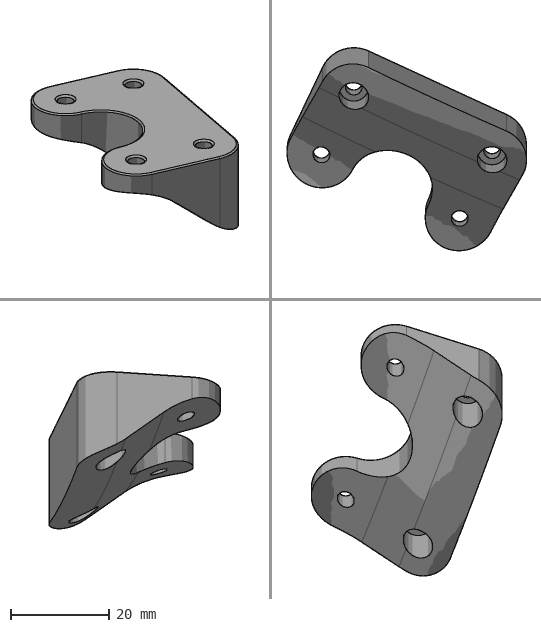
import cadquery as cq
import math

length = 45.0
width = 29.5
height = 19.75

hole_pitch_x = 31.0
corner_radius = (length - hole_pitch_x) / 2
hole_pitch_y = width - 2 * corner_radius
notch_radius = hole_pitch_x / 2 - corner_radius
edge_chamfer_width = 0.4
edge_chamfer_depth = 0.25

hole_diameter = 3.4
countersink_width = 0.4
countersink_angle = 90
counterbore_diameter = 6.0
counterbore_roof = 6.0

front_thickness = 5.9
bow_radius = 130.5
slope = math.radians(38.5)
back_arc_radius = 14.0

half_length = length / 2
back_y = width / 2
front_y = -width / 2
hole_x = hole_pitch_x / 2
rear_hole_y = hole_pitch_y / 2
front_hole_y = -hole_pitch_y / 2


def make_blank():
    """Full-height plate with rounded rear corners, two front lobes and the notch between them."""
    diagonal = corner_radius * math.sqrt(0.5)
    return (
        cq.Workplane("XY", origin=(0, 0, -height))
        .moveTo(-half_length, front_hole_y)
        .lineTo(-half_length, rear_hole_y)
        .threePointArc((-hole_x - diagonal, rear_hole_y + diagonal), (-hole_x, back_y))
        .lineTo(hole_x, back_y)
        .threePointArc((hole_x + diagonal, rear_hole_y + diagonal), (half_length, rear_hole_y))
        .lineTo(half_length, front_hole_y)
        .threePointArc((hole_x, front_y), (notch_radius, front_hole_y))
        .threePointArc((0, front_hole_y + notch_radius), (-notch_radius, front_hole_y))
        .threePointArc((-hole_x, front_y), (-half_length, front_hole_y))
        .close()
        .extrude(height)
        .faces(">Z")
        .chamfer(edge_chamfer_depth, edge_chamfer_width)
    )


def make_bowed_envelope():
    """Solid of revolution whose outer surface is the S-shaped underside."""
    axis_z = bow_radius - height

    rise = height - front_thickness
    radius_sum = (width * math.sin(slope) - rise * math.cos(slope)) / (1 - math.cos(slope))
    front_arc_radius = radius_sum - back_arc_radius

    def back_point(angle):
        return (
            back_y - back_arc_radius * math.sin(angle),
            -height + back_arc_radius * (1 - math.cos(angle)),
        )

    def front_point(angle):
        return (
            front_y + front_arc_radius * math.sin(angle),
            -front_thickness - front_arc_radius * (1 - math.cos(angle)),
        )

    return (
        cq.Workplane("YZ")
        .moveTo(back_y, axis_z)
        .lineTo(*back_point(0))
        .threePointArc(back_point(slope / 2), back_point(slope))
        .lineTo(*front_point(slope))
        .threePointArc(front_point(slope / 2), front_point(0))
        .lineTo(front_y, axis_z)
        .close()
        .revolve(360, (0, axis_z), (1, axis_z))
    )


def cut_holes(body):
    """Drill the four countersunk holes and counterbore the rear pair from below."""
    corners = [(x, y) for x in (-hole_x, hole_x) for y in (front_hole_y, rear_hole_y)]
    rear_pair = [(-hole_x, rear_hole_y), (hole_x, rear_hole_y)]
    countersink_diameter = hole_diameter + 2 * countersink_width
    body = (
        body.copyWorkplane(cq.Workplane("XY"))
        .pushPoints(corners)
        .cskHole(hole_diameter, countersink_diameter, countersink_angle)
    )
    counterbores = (
        cq.Workplane("XY", origin=(0, 0, -height))
        .pushPoints(rear_pair)
        .circle(counterbore_diameter / 2)
        .extrude(height - counterbore_roof)
    )
    return body.cut(counterbores)


result = cut_holes(make_blank().intersect(make_bowed_envelope()))